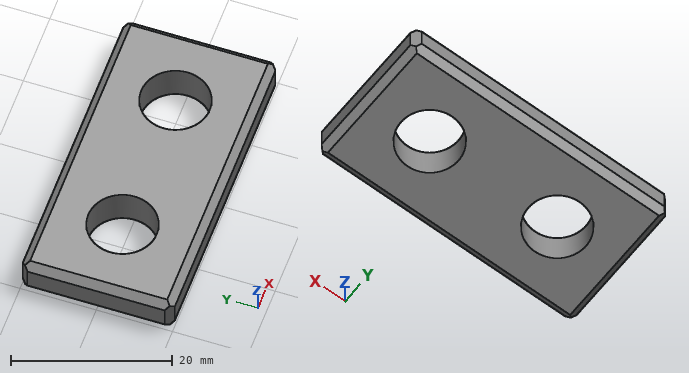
import cadquery as cq

length = 40.0
width = 20.0
thickness = 5.0
edge_chamfer = 1.0
hole_diameter = 9.0
hole_spacing = length / 2


def block_chamfered_along(axis):
    """Full-size block with only the edges parallel to the axis chamfered."""
    block = cq.Workplane("XY").box(length, width, thickness)
    return block.edges("|" + axis).chamfer(edge_chamfer)


plate = block_chamfered_along("X")
for axis in ("Y", "Z"):
    plate = plate.intersect(block_chamfered_along(axis))

holes = (
    cq.Workplane("XY")
    .pushPoints([(-hole_spacing / 2, 0), (hole_spacing / 2, 0)])
    .circle(hole_diameter / 2)
    .extrude(thickness / 2, both=True)
)

result = plate.cut(holes)